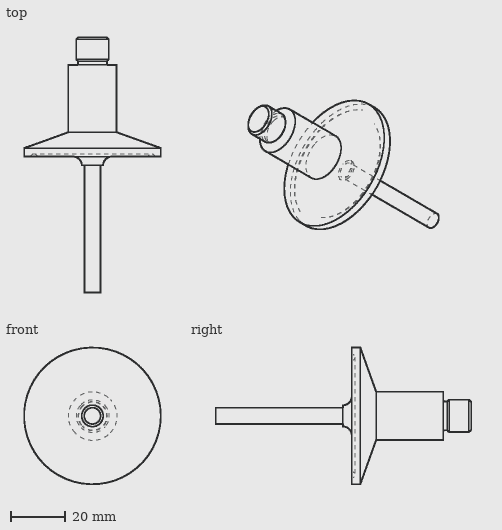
import cadquery as cq
import math

total_length = 94.0
collar_tip_y = 46.8
flange_face_y = 50.0
rim_width = 3.2
cone_length = 5.8
body_length = 24.7

probe_radius = 3.0
collar_radius = 3.95
flange_radius = 25.2
body_radius = 8.9
connector_radius = 6.0
neck_radius = 5.4

neck_length = 1.4
neck_fillet = 0.3
end_chamfer = 0.8
neck_chamfer = connector_radius - neck_radius

groove_radius = 21.6
groove_bottom_radius = 1.2
groove_depth = 1.1
lip_radius = 0.4

rim_back_y = flange_face_y + rim_width
body_start_y = rim_back_y + cone_length
body_end_y = body_start_y + body_length
neck_end_y = body_end_y + neck_length


def revolve_about_y(profile):
    """Turn a closed (radius, Y) profile into a solid of revolution."""
    return profile.close().revolve(360, (0, 0, 0), (0, 1, 0))


def make_body():
    """Probe, collar with concave flare, flange, cone, body and connector."""
    flare_radius = flange_face_y - collar_tip_y
    flare_center_radius = collar_radius + flare_radius
    flare_offset = flare_radius * math.sqrt(0.5)
    flare_middle = (flare_center_radius - flare_offset, collar_tip_y + flare_offset)
    neck_fillet_offset = neck_fillet * (1 - math.sqrt(0.5))
    neck_fillet_middle = (neck_radius + neck_fillet_offset, body_end_y + neck_fillet_offset)
    return revolve_about_y(
        cq.Workplane("XY")
        .lineTo(probe_radius, 0)
        .lineTo(probe_radius, collar_tip_y)
        .lineTo(collar_radius, collar_tip_y)
        .threePointArc(flare_middle, (flare_center_radius, flange_face_y))
        .lineTo(flange_radius, flange_face_y)
        .lineTo(flange_radius, rim_back_y)
        .lineTo(body_radius, body_start_y)
        .lineTo(body_radius, body_end_y)
        .lineTo(neck_radius + neck_fillet, body_end_y)
        .threePointArc(neck_fillet_middle, (neck_radius, body_end_y + neck_fillet))
        .lineTo(neck_radius, neck_end_y)
        .lineTo(connector_radius, neck_end_y + neck_chamfer)
        .lineTo(connector_radius, total_length - end_chamfer)
        .lineTo(connector_radius - end_chamfer, total_length)
        .lineTo(0, total_length)
    )


def make_gasket_groove():
    """Ring to cut: a bottom arc that runs tangentially into two convex lip arcs."""
    bottom_center_y = flange_face_y + groove_depth - groove_bottom_radius
    lip_center_y = flange_face_y + lip_radius
    center_distance = groove_bottom_radius + lip_radius
    lip_offset = math.sqrt(center_distance**2 - (lip_center_y - bottom_center_y) ** 2)
    tangent_share = groove_bottom_radius / center_distance
    tangent_offset = tangent_share * lip_offset
    tangent_y = bottom_center_y + tangent_share * (lip_center_y - bottom_center_y)

    lip_half_angle = math.atan2(lip_offset, lip_center_y - bottom_center_y) / 2
    lip_middle_offset = lip_offset - lip_radius * math.sin(lip_half_angle)
    lip_middle_y = lip_center_y - lip_radius * math.cos(lip_half_angle)

    return revolve_about_y(
        cq.Workplane("XY")
        .moveTo(groove_radius - lip_offset, flange_face_y)
        .threePointArc(
            (groove_radius - lip_middle_offset, lip_middle_y),
            (groove_radius - tangent_offset, tangent_y),
        )
        .threePointArc(
            (groove_radius, flange_face_y + groove_depth),
            (groove_radius + tangent_offset, tangent_y),
        )
        .threePointArc(
            (groove_radius + lip_middle_offset, lip_middle_y),
            (groove_radius + lip_offset, flange_face_y),
        )
    )


result = make_body().cut(make_gasket_groove())